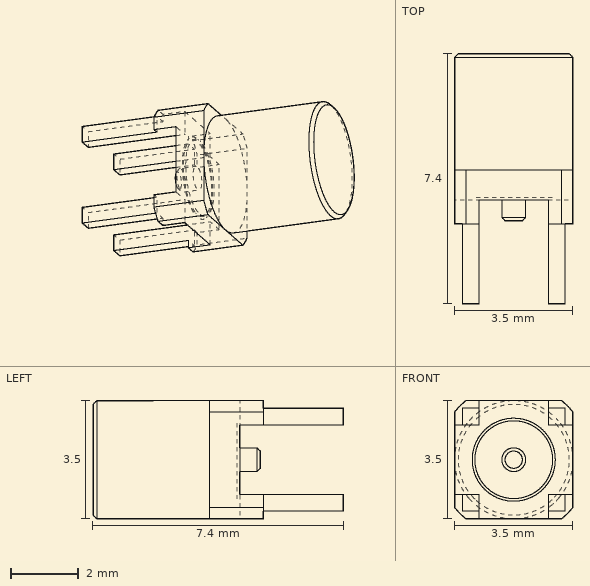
import cadquery as cq

total_length = 7.4
body_width = 3.5
leg_length = 2.37
base_length = 1.58
corner_diameter = 4.5
barrel_chamfer = 0.11

channel_width = 2.05
channel_depth = 0.695
leg_side = 0.495

groove_outer_diameter = 2.46
groove_inner_diameter = 2.3
pin_diameter = 0.7
pin_height = 0.61
pin_chamfer = 0.095

base_start = leg_length
channel_floor = base_start + channel_depth
barrel_start = base_start + base_length
barrel_length = total_length - barrel_start
leg_center = channel_width / 2 + leg_side / 2


def section_at(y):
    """Sketch plane at station y whose normal points along +Y."""
    return cq.Workplane(cq.Plane(origin=(0, y, 0), xDir=(1, 0, 0), normal=(0, 1, 0)))


def make_barrel():
    barrel = section_at(barrel_start).circle(body_width / 2).extrude(barrel_length)
    return barrel.faces(">Y").chamfer(barrel_chamfer)


def make_base():
    base = section_at(base_start).rect(body_width, body_width).extrude(base_length)
    turned = section_at(base_start).circle(corner_diameter / 2).extrude(base_length)
    base = base.intersect(turned)
    for width, height in ((body_width, channel_width), (channel_width, body_width)):
        base = base.cut(section_at(base_start).rect(width, height).extrude(channel_depth))
    return base


def make_groove():
    """V-shaped ring: a 45 degree outer wall around a straight inner wall."""
    outer_radius = groove_outer_diameter / 2
    inner_radius = groove_inner_diameter / 2
    groove_depth = outer_radius - inner_radius
    profile = cq.Workplane("XY").polyline([
        (inner_radius, channel_floor),
        (outer_radius, channel_floor),
        (inner_radius, channel_floor + groove_depth),
    ]).close()
    return profile.revolve(360, (0, 0, 0), (0, 1, 0))


def make_pin():
    pin = section_at(channel_floor - pin_height).circle(pin_diameter / 2).extrude(pin_height)
    return pin.faces("<Y").chamfer(pin_chamfer)


def make_legs():
    legs = section_at(0).rect(2 * leg_center, 2 * leg_center, forConstruction=True).vertices()
    return legs.rect(leg_side, leg_side).extrude(leg_length)


result = make_base().union(make_barrel()).cut(make_groove()).union(make_pin()).union(make_legs())